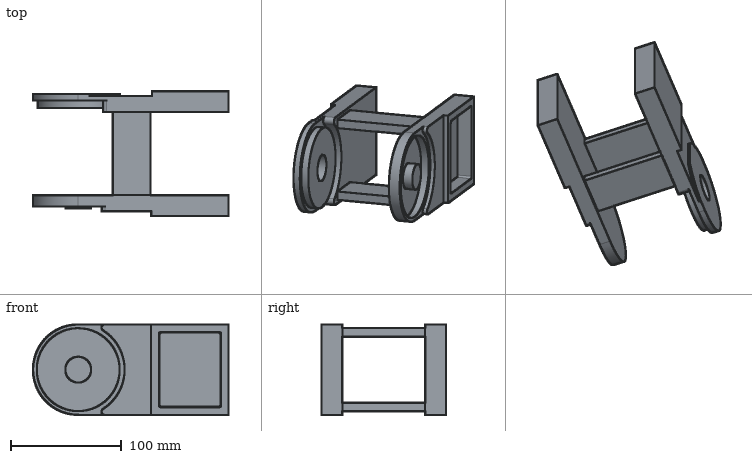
import cadquery as cq
import math

half_height = 41.0
square_end_x = 136.0
total_width = 112.8
plate_thickness = 10.4
outer_thickness = 8.5
web_thickness = outer_thickness / 2

outer_level = total_width / 2
interface_level = outer_level - outer_thickness
inner_level = interface_level - plate_thickness
web_level = interface_level + web_thickness

clearance_radius = 42.0
front_nose_radius = 3.0
rear_nose_radius = 3.5

front_pad_x = 66.0
recess_radius = 37.5
recess_depth = 7.2
pin_radius = 11.7
pin_protrusion = 1.8
pocket_left_x = 73.0
pocket_right_x = 129.2
pocket_height = 68.0
pocket_depth = 13.2
pocket_corner_radius = 2.0
pocket_taper = 2.4

rear_pad_x = 66.5
hub_thickness = 6.1
hub_radius = 42.3
hub_flat_x = 37.9
boss_radius = 36.8
boss_height = 6.7
bore_radius = 12.0

strut_left_x = 31.2
strut_right_x = 65.4
strut_outer_z = 37.7
strut_thickness = 8.0


def extrude_y(profile, y_start, y_end):
    """Extrude an XZ profile between two Y levels."""
    return profile(cq.Workplane("XZ", origin=(0, y_start, 0))).extrude(y_start - y_end)


def disc(radius, y_start, y_end):
    return extrude_y(lambda plane: plane.circle(radius), y_start, y_end)


def block(x_start, x_end, y_start, y_end):
    """Full-height block."""
    return (
        cq.Workplane("XY")
        .box(x_end - x_start, y_end - y_start, 2 * half_height, centered=False)
        .translate((x_start, y_start, -half_height))
    )


def rounded_plate(y_start, y_end):
    """Plate with a half-round end about the pivot and a square far end."""
    return block(0, square_end_x, y_start, y_end).union(disc(half_height, y_start, y_end))


def clearance_plate(nose_radius, y_start, y_end):
    """Plate whose pivot edge is a concave arc ending in rounded noses."""
    nose_z = half_height - nose_radius
    nose_distance = clearance_radius + nose_radius
    nose_x = math.sqrt(nose_distance**2 - nose_z**2)
    tangent_x = nose_x * clearance_radius / nose_distance
    tangent_z = nose_z * clearance_radius / nose_distance
    tip_x = nose_x - nose_radius

    def profile(plane):
        return (
            plane.moveTo(square_end_x, half_height)
            .lineTo(nose_x, half_height)
            .threePointArc((tip_x, nose_z), (tangent_x, tangent_z))
            .threePointArc((clearance_radius, 0), (tangent_x, -tangent_z))
            .threePointArc((tip_x, -nose_z), (nose_x, -half_height))
            .lineTo(square_end_x, -half_height)
            .close()
        )

    return extrude_y(profile, y_start, y_end)


def end_pocket():
    """Tapered rectangular pocket in the front end pad."""
    return (
        cq.Workplane("XZ", origin=((pocket_left_x + pocket_right_x) / 2, -outer_level, 0))
        .sketch()
        .rect(pocket_right_x - pocket_left_x, pocket_height)
        .vertices()
        .fillet(pocket_corner_radius)
        .finalize()
        .extrude(-pocket_depth, taper=pocket_taper)
    )


def front_side():
    recess_floor = interface_level - recess_depth
    side = rounded_plate(-interface_level, -inner_level)
    side = side.union(clearance_plate(front_nose_radius, -web_level, -interface_level))
    side = side.union(block(front_pad_x, square_end_x, -outer_level, -interface_level))
    side = side.cut(disc(recess_radius, -interface_level, -recess_floor))
    side = side.union(disc(pin_radius, -interface_level - pin_protrusion, -recess_floor))
    return side.cut(end_pocket())


def rear_hub():
    """Raised round hub kept within the plate height and trimmed flat on the strut side."""
    hub_outer = interface_level + hub_thickness
    envelope = rounded_plate(interface_level, hub_outer)
    envelope = envelope.cut(block(hub_flat_x, square_end_x, interface_level, hub_outer))
    return disc(hub_radius, interface_level, hub_outer).intersect(envelope)


def rear_side():
    boss_face = interface_level - boss_height
    side = clearance_plate(rear_nose_radius, inner_level, interface_level)
    side = side.union(rounded_plate(interface_level, web_level))
    side = side.union(rear_hub())
    side = side.union(block(rear_pad_x, square_end_x, interface_level, outer_level))
    side = side.union(disc(boss_radius, boss_face, interface_level))
    return side.cut(disc(bore_radius, boss_face, outer_level))


def strut(z_low):
    return (
        cq.Workplane("XY")
        .box(strut_right_x - strut_left_x, 2 * inner_level, strut_thickness, centered=False)
        .translate((strut_left_x, -inner_level, z_low))
    )


result = front_side().union(rear_side())
for strut_low_z in (-strut_outer_z, strut_outer_z - strut_thickness):
    result = result.union(strut(strut_low_z))